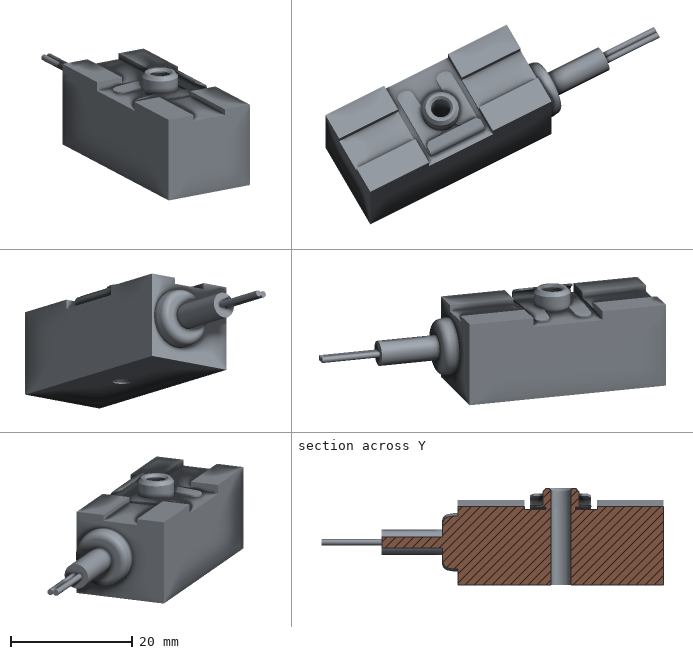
import cadquery as cq
import math

body_length = 34.0
body_width = 15.6
body_height = 14.0
channel_width = 6.0
channel_depth = 1.0
pocket_length = 12.0
pocket_depth = 1.5
pocket_floor = body_height - pocket_depth

button_x = body_length / 2
button_y = 0.75
button_top = 16.0
button_diameter = 6.0
button_rim_diameter = 5.0
button_chamfer_height = 0.6
button_shank_diameter = 5.0
button_shank_height = 0.55
bore_diameter = 3.2
bore_chamfer = 0.4

cable_y = 2.6
cable_z = 7.0
collar_diameter = 9.6
collar_length = 2.55
collar_base_length = 0.75
collar_nose_start = 1.5
collar_nose_diameter = 9.3
collar_face_diameter = 6.9
cable_diameter = 4.2
cable_end = -12.55
wire_diameter = 1.0
overall_length = 56.5
wire_end = body_length - overall_length
wire_overlap = 0.01

clip_width = 10.05
clip_thickness = 0.35
clip_rear = body_width / 2 - 1.0
clip_front = clip_rear - 12.6
clip_rise = 0.4
fold_radius = 1.0
lip_angle = math.radians(24)
lip_edge_y = body_width / 2 - 3.0
lip_corner = 0.55
leg_gap_tip = 4.5
leg_gap_root = 4.2
leg_taper_y = -3.4
leg_end_radius = 1.25
window_width = 4.3
window_rear = 4.6
window_straight = 0.45
window_neck_width = 2.05
window_neck_y = 3.4


def rod_along_x(diameter, start, end, y):
    profile = cq.Workplane("YZ", origin=(start, y, cable_z)).circle(diameter / 2)
    return profile.extrude(end - start)


def make_body():
    body = cq.Workplane().box(body_length, body_width, body_height, centered=(False, True, False))
    channel = cq.Workplane().box(body_length, channel_width, channel_depth, centered=(False, True, False))
    pocket = cq.Workplane().box(pocket_length, body_width, pocket_depth, centered=(True, True, False))
    body = body.cut(channel.translate((0, 0, body_height - channel_depth)))
    return body.cut(pocket.translate((body_length / 2, 0, pocket_floor)))


def cone_up(bottom_diameter, top_diameter, bottom_z, height):
    base = cq.Vector(button_x, button_y, bottom_z)
    return cq.Workplane(cq.Solid.makeCone(bottom_diameter / 2, top_diameter / 2, height, base))


def make_button():
    shoulder_z = button_top - button_chamfer_height
    cap_z = pocket_floor + button_shank_height
    shank = (
        cq.Workplane(origin=(button_x, button_y, pocket_floor))
        .circle(button_shank_diameter / 2)
        .extrude(button_shank_height)
    )
    cap = cq.Workplane(origin=(button_x, button_y, cap_z)).circle(button_diameter / 2).extrude(shoulder_z - cap_z)
    rim = cone_up(button_diameter, button_rim_diameter, shoulder_z, button_chamfer_height)
    return shank.union(cap).union(rim)


def make_bore():
    """Hole through the button and body, countersunk at the top."""
    bore = cq.Workplane(origin=(button_x, button_y, 0)).circle(bore_diameter / 2).extrude(button_top)
    mouth_diameter = bore_diameter + 2 * bore_chamfer
    return bore.union(cone_up(bore_diameter, mouth_diameter, button_top - bore_chamfer, bore_chamfer))


def make_collar():
    """Round collar with a straight base, a slight taper and a rounded nose."""
    base_radius = collar_diameter / 2
    nose_radius = collar_nose_diameter / 2
    face_radius = collar_face_diameter / 2
    nose_length = collar_length - collar_nose_start
    diagonal = math.sqrt(0.5)
    nose_middle = (
        -collar_nose_start - nose_length * diagonal,
        face_radius + (nose_radius - face_radius) * diagonal,
    )
    return (
        cq.Workplane("XY", origin=(0, cable_y, cable_z))
        .lineTo(0, base_radius)
        .lineTo(-collar_base_length, base_radius)
        .lineTo(-collar_nose_start, nose_radius)
        .threePointArc(nose_middle, (-collar_length, face_radius))
        .lineTo(-collar_length, 0)
        .close()
        .revolve(360, (0, 0, 0), (1, 0, 0))
    )


def make_cable():
    cable = make_collar().union(rod_along_x(cable_diameter, cable_end, 0, cable_y))
    wire_offset = (wire_diameter - wire_overlap) / 2
    for side in (-1, 1):
        cable = cable.union(rod_along_x(wire_diameter, wire_end, cable_end, cable_y + side * wire_offset))
    return cable


def make_clip_sheet():
    """Side profile of the clip, swept across its width."""
    inner_radius = fold_radius - clip_thickness
    fold_y = clip_rear - fold_radius
    fold_z = pocket_floor + fold_radius
    arch_y = (clip_front + fold_y) / 2
    lip_normal = (math.sin(lip_angle), math.cos(lip_angle))

    def on_fold(radius):
        return (fold_y + radius * lip_normal[0], fold_z + radius * lip_normal[1])

    outer_start = on_fold(fold_radius)
    inner_start = on_fold(inner_radius)

    def lip_end(start):
        return (lip_edge_y, start[1] + (start[0] - lip_edge_y) * math.tan(lip_angle))

    sheet_top = pocket_floor + clip_thickness
    profile = (
        cq.Workplane("YZ", origin=(button_x, 0, 0))
        .moveTo(clip_front, pocket_floor)
        .threePointArc((arch_y, pocket_floor + clip_rise), (fold_y, pocket_floor))
        .threePointArc((clip_rear, fold_z), outer_start)
        .lineTo(*lip_end(outer_start))
        .lineTo(*lip_end(inner_start))
        .lineTo(*inner_start)
        .threePointArc((fold_y + inner_radius, fold_z), (fold_y, sheet_top))
        .threePointArc((arch_y, sheet_top + clip_rise), (clip_front, sheet_top))
        .close()
    )
    sheet = profile.extrude(clip_width / 2, both=True)
    lip_edges = cq.selectors.BoxSelector(
        (button_x - clip_width, lip_edge_y - clip_thickness, body_height),
        (button_x + clip_width, lip_edge_y + clip_thickness, button_top),
    )
    return sheet.edges(lip_edges).edges("not |X").chamfer(lip_corner)


def make_leg_gap():
    """Space between the legs, slightly wider toward their tips."""
    tip = leg_gap_tip / 2
    root = leg_gap_root / 2
    gap = (
        cq.Workplane(origin=(button_x, 0, pocket_floor))
        .polyline([
            (-tip, clip_front),
            (-tip, leg_taper_y),
            (-root, button_y - root),
            (-root, button_y),
            (root, button_y),
            (root, button_y - root),
            (tip, leg_taper_y),
            (tip, clip_front),
        ])
        .close()
    )
    return gap.extrude(pocket_depth)


def make_window():
    """Opening behind the button, narrowing toward it."""
    window = (
        cq.Workplane(origin=(button_x, 0, pocket_floor))
        .polyline([
            (-window_width / 2, window_rear),
            (window_width / 2, window_rear),
            (window_width / 2, window_rear - window_straight),
            (window_neck_width / 2, window_neck_y),
            (-window_neck_width / 2, window_neck_y),
            (-window_width / 2, window_rear - window_straight),
        ])
        .close()
    )
    return window.extrude(clip_thickness + clip_rise)


def make_clip():
    clip = make_clip_sheet().cut(make_leg_gap()).cut(make_window())
    return clip.faces("<Y").edges("|Z").fillet(leg_end_radius)


result = make_body().union(make_button()).union(make_clip()).union(make_cable()).cut(make_bore())